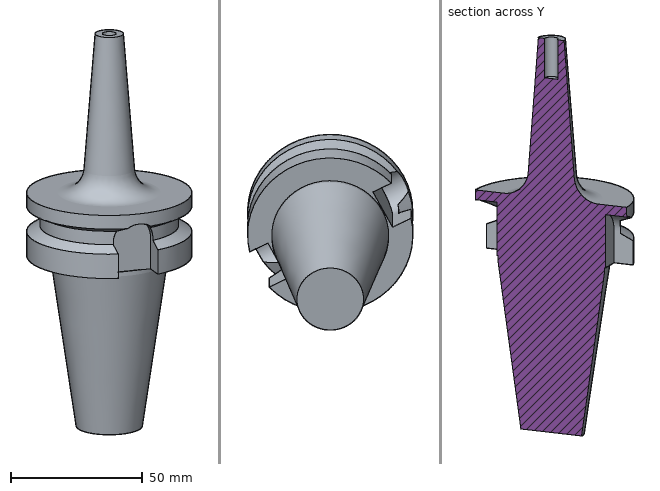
import cadquery as cq
import math

total_height = 155.4
shank_taper_height = 65.5
shank_collar_height = 2.0
flange_height = 25.0
flange_bottom = shank_taper_height + shank_collar_height
flange_top = flange_bottom + flange_height

shank_radius = 22.2
shank_taper_ratio = 7 / 24
shank_end_radius = shank_radius - shank_taper_height * shank_taper_ratio / 2

flange_diameter = 63.0
flange_radius = flange_diameter / 2
groove_radius = 26.4
groove_center_height = 14.6
groove_floor_width = 5.3
groove_mouth_width = 10.0
groove_center = flange_bottom + groove_center_height

tip_radius = 5.5
neck_angle = math.radians(4.5)
fillet_radius = 10.0
bore_radius = 2.6
bore_depth = 15.5

slot_width = 16.2
slot_floor = 22.5
slot_height = 21.0


def fillet_point(center, angle):
    """Point on the neck fillet whose surface normal rises by the given angle."""
    return (
        center[0] - fillet_radius * math.cos(angle),
        center[1] - fillet_radius * math.sin(angle),
    )


def make_body():
    """Revolve the half profile of shank, flange and neck about Z."""
    center_z = flange_top + fillet_radius
    neck_base_z = center_z - fillet_radius * math.sin(neck_angle)
    neck_base_radius = tip_radius + (total_height - neck_base_z) * math.tan(neck_angle)
    center = (neck_base_radius + fillet_radius * math.cos(neck_angle), center_z)
    middle_angle = (neck_angle + math.pi / 2) / 2

    return (
        cq.Workplane("XZ")
        .lineTo(shank_end_radius, 0)
        .lineTo(shank_radius, shank_taper_height)
        .lineTo(shank_radius, flange_bottom)
        .lineTo(flange_radius, flange_bottom)
        .lineTo(flange_radius, groove_center - groove_mouth_width / 2)
        .lineTo(groove_radius, groove_center - groove_floor_width / 2)
        .lineTo(groove_radius, groove_center + groove_floor_width / 2)
        .lineTo(flange_radius, groove_center + groove_mouth_width / 2)
        .lineTo(flange_radius, flange_top)
        .lineTo(center[0], flange_top)
        .threePointArc(fillet_point(center, middle_angle), (neck_base_radius, neck_base_z))
        .lineTo(tip_radius, total_height)
        .lineTo(0, total_height)
        .close()
        .revolve(360, (0, 0, 0), (0, 1, 0))
    )


def make_drive_slot(side):
    """Arch-topped cutter for one side: -1 for -X, +1 for +X."""
    half_width = slot_width / 2
    arch_center = flange_bottom + slot_height - half_width
    return (
        cq.Workplane("YZ", origin=(side * slot_floor, 0, 0))
        .moveTo(-half_width, flange_bottom)
        .lineTo(half_width, flange_bottom)
        .lineTo(half_width, arch_center)
        .threePointArc((0, flange_bottom + slot_height), (-half_width, arch_center))
        .close()
        .extrude(side * flange_radius)
    )


def make_bore():
    """Blind tool bore in the tip of the neck."""
    return (
        cq.Workplane("XY", origin=(0, 0, total_height - bore_depth))
        .circle(bore_radius)
        .extrude(bore_depth)
    )


result = make_body().cut(make_bore())
for side in (-1, 1):
    result = result.cut(make_drive_slot(side))